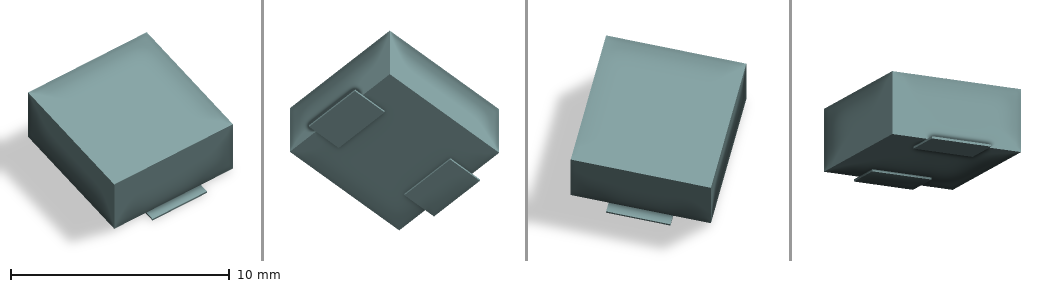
import cadquery as cq

overall_length = 7.93
overall_height = 3.1

terminal_thickness = 0.1
terminal_length = 1.88
terminal_width = 3.03

housing_length = 6.95
housing_width = 6.6
housing_height = overall_height - terminal_thickness


def make_housing():
    """Block centred on the Z axis, with its underside at the top of the terminals."""
    return (
        cq.Workplane("XY")
        .workplane(offset=terminal_thickness)
        .box(housing_length, housing_width, housing_height, centered=(True, True, False))
    )


def make_terminal(side):
    """Flat strip at the -X (side = -1) or +X (side = 1) end, reaching past the housing."""
    center_x = side * (overall_length - terminal_length) / 2
    return (
        cq.Workplane("XY")
        .center(center_x, 0)
        .box(terminal_length, terminal_width, terminal_thickness, centered=(True, True, False))
    )


housing = make_housing()
terminals = [make_terminal(side) for side in (-1, 1)]

result = cq.Compound.makeCompound([housing.val(), *[terminal.val() for terminal in terminals]])